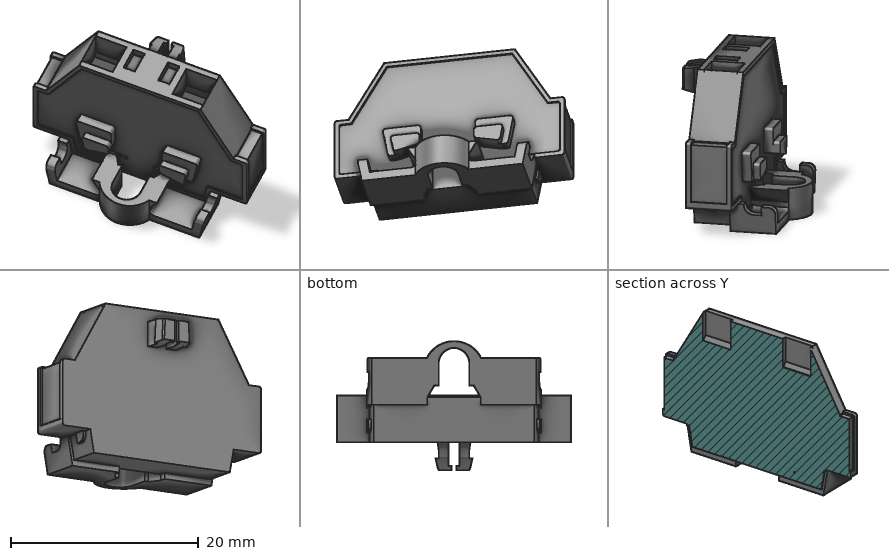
import cadquery as cq
import math

THICKNESS = 5.0
HEIGHT = 17.2
HALF_WIDTH = 12.5
TOP_HALF_WIDTH = 7.1
ROOF_LEAN = math.tan(math.radians(30))
WING_TOP = 10.5
WING_BOTTOM = 3.2
WING_FILLET = 0.3
HOUSING_BOTTOM = 0.65

RIM = 0.5
RECESS_DEPTH = 0.2

PANEL_END_DEPTH = 0.2
PANEL_TOP_DEPTH = 0.25
PANEL_WALL_HEIGHT = 0.12
PANEL_FRONT = 0.53
PANEL_BACK = 4.45
PANEL_BOTTOM = 4.0

FOOT_FRONT = -4.0
FOOT_BACK = 1.0
FLOOR_TOP = 1.0
FOOT_HALF_WIDTH = 8.75
SIDE_LEAN = math.tan(math.radians(10))
ARM_INNER_X = 7.88
ARM_BACK_FILLET = 0.35
NOTCH_BACK = -0.6
NOTCH_FRONT = -2.5
NOTCH_BOTTOM = 2.05
NOTCH_RADIUS = 1.03
TOOTH_TOP = 3.0
TOOTH_RADIUS = 0.75

CHEEK_INSET = 0.3

CATCH_FRONT = 2.55
CATCH_BACK = 4.0
CATCH_BOTTOM = 2.1
CATCH_RADIUS = 1.05

TOWER_TOP = 3.5
TOWER_HALF_WIDTH = 3.8
TOWER_FILLET = 0.65
NOSE_HALF_WIDTH = 2.9
NOSE_TIP = -5.8
SLOT_RADIUS = 1.62
SLOT_CENTER_Y = -3.43
SLOT_STEP_Y = -1.05
SLOT_STEP_X = 2.1
SLOT_MOUTH_X = 2.84
LEDGE_INNER_X = 1.5
LEDGE_HEIGHT = 0.15

BOSS_INNER_X = 2.97
BOSS_TOP = 8.32
BOSS_OUTER_X = 7.13
BOSS_BOTTOM = 4.85
BOSS_SLANT_X = 5.75
BOSS_SLANT_TOP = 5.53
BOSS_FRONT = -0.83
STEP_TOP = 6.87
STEP_OUTER_X = 6.13
STEP_FRONT = -1.6
BOSS_FILLET = 0.33

WELL_INNER_X = 3.5
WELL_FRONT = 0.68
WELL_BACK = 4.3
WELL_WALL_DEPTH = 2.9
WELL_FUNNEL_DEPTH = 0.5
LEFT_FUNNEL_INSET = (0.37, 0.3)
RIGHT_FUNNEL_INSET = (0.45, 0.45)
POCKET_CENTER_X = 2.03
POCKET_WIDTH = 1.32
POCKET_FRONT = 1.72
POCKET_DEPTH = 0.87

PIN_BOTTOM = 13.15
PIN_TOP = 15.85
PIN_GAP = 0.57
PIN_ROOT_X = 1.77
PIN_NECK_X = 1.63
PIN_TAPER_END = 5.9
HEAD_START = 6.7
HEAD_X = 1.98
HEAD_END = 7.78
HEAD_END_X = 1.75
PIN_END = 8.0
PIN_END_X = 1.6
LIP_X = 0.25
LIP_START = 7.52
PIN_SLOPE_START = 6.55
HEAD_LEAN_X = 0.15
PIN_END_DROP = 0.22


def plate_xz(points, y_start, y_end):
    """Prism of an XZ outline between two Y positions."""
    plane = cq.Workplane("XZ", origin=(0, y_start, 0))
    return plane.polyline(points).close().extrude(y_start - y_end)


def box(x_range, y_range, z_range):
    """Box between the given limits."""
    size = [end - start for start, end in (x_range, y_range, z_range)]
    return cq.Workplane("XY", origin=(x_range[0], y_range[0], z_range[0])).box(*size, centered=False)


def mirrored(points):
    """Full outline from its right half, listed from the top centre outwards."""
    return points + [(-x, z) for x, z in reversed(points)]


def both_sides(half):
    """The right half shape together with its mirror image across the YZ plane."""
    return half.union(half.mirror("YZ"))


def roof_x(z):
    """Half width between the sloping roof sides at height z."""
    return TOP_HALF_WIDTH + (HEIGHT - z) * ROOF_LEAN


def side_x(z):
    """Half width of the narrow lower housing at height z."""
    return ARM_INNER_X + (z - FLOOR_TOP) * SIDE_LEAN


def foot_x(z):
    """Half width of the foot at height z."""
    return FOOT_HALF_WIDTH + z * SIDE_LEAN


def housing_prism(bottom, y_start, y_end, inset=0.0, wing_fillet=WING_FILLET):
    """Housing outline with the given bottom height, pulled inwards by the inset, wing corners rounded."""
    half = [
        (TOP_HALF_WIDTH, HEIGHT),
        (roof_x(WING_TOP), WING_TOP),
        (HALF_WIDTH, WING_TOP),
        (HALF_WIDTH, WING_BOTTOM),
        (side_x(WING_BOTTOM), WING_BOTTOM),
        (side_x(bottom), bottom),
    ]
    outline = cq.Workplane("XZ", origin=(0, y_start, 0)).polyline(mirrored(half)).close()
    if inset:
        outline = outline.offset2D(-inset, "intersection")
    prism = outline.extrude(y_start - y_end)
    for end in (-HALF_WIDTH, HALF_WIDTH):
        wing_end = cq.selectors.BoxSelector((end - 2 * RIM, y_start, 0), (end + 2 * RIM, y_end, HEIGHT))
        prism = prism.edges("|Y").edges(wing_end).fillet(wing_fillet)
    return prism


def wing_panels():
    """Material removed from the wing tops and ends, with a short upright wall below each shoulder."""
    end_x = HALF_WIDTH - PANEL_END_DEPTH
    floor_z = WING_TOP - PANEL_TOP_DEPTH
    wall_top = floor_z + PANEL_WALL_HEIGHT
    wall_x = roof_x(wall_top)
    panel = plate_xz([
        (roof_x(WING_TOP), WING_TOP),
        (HALF_WIDTH, WING_TOP),
        (HALF_WIDTH, PANEL_BOTTOM),
        (end_x, PANEL_BOTTOM),
        (end_x, floor_z),
        (wall_x, floor_z),
        (wall_x, wall_top),
    ], PANEL_FRONT, PANEL_BACK)
    return both_sides(panel)


def roof_openings():
    """Wire wells with funnel bottoms, and the shallow pockets between them."""
    wall_bottom = HEIGHT - WELL_WALL_DEPTH
    funnel_bottom = wall_bottom - WELL_FUNNEL_DEPTH
    openings = cq.Workplane("XY")
    for side, inset in ((-1, LEFT_FUNNEL_INSET), (1, RIGHT_FUNNEL_INSET)):
        profile = [
            (WELL_FRONT, HEIGHT),
            (WELL_FRONT, wall_bottom),
            (WELL_FRONT + inset[0], funnel_bottom),
            (WELL_BACK - inset[1], funnel_bottom),
            (WELL_BACK, wall_bottom),
            (WELL_BACK, HEIGHT),
        ]
        start = cq.Workplane("YZ", origin=(side * WELL_INNER_X, 0, 0))
        well = start.polyline(profile).close().extrude(side * (TOP_HALF_WIDTH - WELL_INNER_X))
        openings = openings.add(well)
        middle = side * POCKET_CENTER_X
        openings = openings.add(box(
            (middle - POCKET_WIDTH / 2, middle + POCKET_WIDTH / 2),
            (POCKET_FRONT, WELL_BACK),
            (HEIGHT - POCKET_DEPTH, HEIGHT),
        ))
    return openings.combine()


def front_boss():
    """Right-hand boss with a smaller step in front of it."""
    slant = (BOSS_SLANT_TOP - BOSS_BOTTOM) / (BOSS_SLANT_X - BOSS_INNER_X)
    boss_lower_x = BOSS_OUTER_X - (BOSS_TOP - BOSS_BOTTOM) * SIDE_LEAN
    boss = plate_xz([
        (BOSS_INNER_X, BOSS_TOP),
        (BOSS_OUTER_X, BOSS_TOP),
        (boss_lower_x, BOSS_BOTTOM),
        (BOSS_SLANT_X, BOSS_BOTTOM),
        (BOSS_INNER_X, BOSS_SLANT_TOP),
    ], BOSS_FRONT, RECESS_DEPTH)
    boss = boss.edges("|Y").fillet(BOSS_FILLET)
    slant_offset = BOSS_SLANT_TOP + BOSS_INNER_X * slant
    step_lower_z = (slant_offset - slant * (STEP_OUTER_X - STEP_TOP * SIDE_LEAN)) / (1 + slant * SIDE_LEAN)
    step = plate_xz([
        (BOSS_INNER_X, STEP_TOP),
        (STEP_OUTER_X, STEP_TOP),
        (STEP_OUTER_X - (STEP_TOP - step_lower_z) * SIDE_LEAN, step_lower_z),
        (BOSS_INNER_X, BOSS_SLANT_TOP),
    ], STEP_FRONT, BOSS_FRONT)
    return boss.union(step.edges("|Y").fillet(BOSS_FILLET))


def leaning_side(z_bottom, z_top, y_start, y_end, inset=0.0):
    """Strip between the housing side and the outer side of the foot, less the inset."""
    return plate_xz([
        (side_x(z_bottom), z_bottom),
        (foot_x(z_bottom) - inset, z_bottom),
        (foot_x(z_top) - inset, z_top),
        (side_x(z_top), z_top),
    ], y_start, y_end)


def hook_arm():
    """Right-hand arm with a round-backed notch and a rounded front tooth."""
    arc_45 = math.sqrt(0.5)
    arm_back_end = FOOT_BACK + ARM_BACK_FILLET
    profile = (
        cq.Workplane("YZ")
        .moveTo(FOOT_FRONT, 0)
        .lineTo(FOOT_BACK, 0)
        .lineTo(FOOT_BACK, WING_BOTTOM - ARM_BACK_FILLET)
        .threePointArc(
            (arm_back_end - ARM_BACK_FILLET * arc_45, WING_BOTTOM - ARM_BACK_FILLET * (1 - arc_45)),
            (arm_back_end, WING_BOTTOM),
        )
        .lineTo(NOTCH_BACK, WING_BOTTOM)
        .lineTo(NOTCH_BACK, NOTCH_BOTTOM + NOTCH_RADIUS)
        .threePointArc(
            (NOTCH_BACK - NOTCH_RADIUS * (1 - arc_45), NOTCH_BOTTOM + NOTCH_RADIUS * (1 - arc_45)),
            (NOTCH_BACK - NOTCH_RADIUS, NOTCH_BOTTOM),
        )
        .lineTo(NOTCH_FRONT, NOTCH_BOTTOM)
        .lineTo(NOTCH_FRONT, TOOTH_TOP)
        .lineTo(FOOT_FRONT + TOOTH_RADIUS, TOOTH_TOP)
        .threePointArc(
            (FOOT_FRONT + TOOTH_RADIUS * (1 - arc_45), TOOTH_TOP - TOOTH_RADIUS * (1 - arc_45)),
            (FOOT_FRONT, TOOTH_TOP - TOOTH_RADIUS),
        )
        .close()
        .extrude(HALF_WIDTH)
    )
    return leaning_side(0, WING_BOTTOM, FOOT_FRONT, arm_back_end).intersect(profile)


def catch():
    """Right-hand catch under the wing, rounded at its lower back edge."""
    strip = leaning_side(CATCH_BOTTOM, WING_BOTTOM, CATCH_FRONT, CATCH_BACK)
    return strip.edges(">Y and <Z").fillet(CATCH_RADIUS)


def foot():
    """Floor plate, hook arms, cheeks and catches."""
    cheek = leaning_side(HOUSING_BOTTOM, WING_BOTTOM, FOOT_BACK, THICKNESS, CHEEK_INSET)
    floor = plate_xz(
        mirrored([(foot_x(FLOOR_TOP), FLOOR_TOP), (FOOT_HALF_WIDTH, 0)]), FOOT_FRONT, FOOT_BACK)
    for side_part in (hook_arm(), cheek, catch()):
        floor = floor.union(both_sides(side_part))
    return floor


def tower():
    """Dovetail block with filleted roots and a round nose."""
    root_x = TOWER_HALF_WIDTH - (TOWER_TOP - FLOOR_TOP) * ROOF_LEAN
    dovetail = plate_xz(
        mirrored([(TOWER_HALF_WIDTH, TOWER_TOP), (root_x, FLOOR_TOP)]), FOOT_FRONT, RECESS_DEPTH)
    pad = box((-FOOT_HALF_WIDTH, FOOT_HALF_WIDTH), (FOOT_FRONT, RECESS_DEPTH), (0, FLOOR_TOP))
    roots = cq.selectors.BoxSelector(
        (-root_x - RIM, FOOT_FRONT - 1, FLOOR_TOP - RIM), (root_x + RIM, THICKNESS, FLOOR_TOP + RIM))
    dovetail = dovetail.union(pad).edges("|Y").edges(roots).fillet(TOWER_FILLET)
    nose = (
        cq.Workplane("XY")
        .moveTo(-NOSE_HALF_WIDTH, FOOT_FRONT)
        .threePointArc((0, NOSE_TIP), (NOSE_HALF_WIDTH, FOOT_FRONT))
        .lineTo(NOSE_HALF_WIDTH, RECESS_DEPTH)
        .lineTo(-NOSE_HALF_WIDTH, RECESS_DEPTH)
        .close()
        .extrude(TOWER_TOP)
    )
    return dovetail.union(nose)


def tower_slot():
    """Keyhole slot through the tower and floor, flaring as far as the recessed face."""
    return (
        cq.Workplane("XY")
        .moveTo(SLOT_MOUTH_X, FOOT_BACK)
        .lineTo(SLOT_MOUTH_X, RECESS_DEPTH)
        .lineTo(SLOT_STEP_X, SLOT_STEP_Y)
        .lineTo(SLOT_RADIUS, SLOT_STEP_Y)
        .lineTo(SLOT_RADIUS, SLOT_CENTER_Y)
        .threePointArc((0, SLOT_CENTER_Y - SLOT_RADIUS), (-SLOT_RADIUS, SLOT_CENTER_Y))
        .lineTo(-SLOT_RADIUS, SLOT_STEP_Y)
        .lineTo(-SLOT_STEP_X, SLOT_STEP_Y)
        .lineTo(-SLOT_MOUTH_X, RECESS_DEPTH)
        .lineTo(-SLOT_MOUTH_X, FOOT_BACK)
        .close()
        .extrude(TOWER_TOP)
    )


def tower_ledge():
    """Right-hand wedge that slopes down from the recessed face to the top of the dovetail."""
    start = cq.Workplane("YZ", origin=(LEDGE_INNER_X, 0, 0))
    profile = [(RECESS_DEPTH, TOWER_TOP + LEDGE_HEIGHT), (0, TOWER_TOP), (RECESS_DEPTH, TOWER_TOP)]
    return start.polyline(profile).close().extrude(TOWER_HALF_WIDTH - LEDGE_INNER_X)


def snap_prong():
    """Right-hand prong of the snap pin, its head tapering towards the end."""
    stem_plan = [
        (PIN_GAP, THICKNESS),
        (PIN_ROOT_X, THICKNESS),
        (PIN_NECK_X, PIN_TAPER_END),
        (PIN_NECK_X, HEAD_START),
        (PIN_GAP, HEAD_START),
    ]
    head_outer = [
        (HEAD_X, HEAD_START),
        (HEAD_END_X, HEAD_END),
        (PIN_END_X, PIN_END),
    ]
    head_inner = [
        (LIP_X, PIN_END),
        (LIP_X, LIP_START),
        (PIN_GAP, LIP_START),
        (PIN_GAP, HEAD_START),
    ]
    head_top_outer = [(x - HEAD_LEAN_X, y) for x, y in head_outer]
    elevation = [
        (THICKNESS, PIN_BOTTOM),
        (PIN_SLOPE_START, PIN_BOTTOM),
        (PIN_END, PIN_BOTTOM + PIN_END_DROP),
        (PIN_END, PIN_TOP - PIN_END_DROP),
        (PIN_SLOPE_START, PIN_TOP),
        (THICKNESS, PIN_TOP),
    ]
    start = cq.Workplane("XY", origin=(0, 0, PIN_BOTTOM))
    stem = start.polyline(stem_plan).close().extrude(PIN_TOP - PIN_BOTTOM)
    head = (
        start.polyline(head_outer + head_inner).close()
        .workplane(offset=PIN_TOP - PIN_BOTTOM)
        .polyline(head_top_outer + head_inner).close()
        .loft(ruled=True)
    )
    return stem.union(head).intersect(cq.Workplane("YZ").polyline(elevation).close().extrude(HALF_WIDTH))


housing = housing_prism(HOUSING_BOTTOM, 0, THICKNESS)
housing = housing.cut(housing_prism(FLOOR_TOP, 0, RECESS_DEPTH, RIM)).cut(wing_panels()).cut(roof_openings())
base = foot().union(tower()).cut(tower_slot())
rim_gap = box((-SLOT_MOUTH_X, SLOT_MOUTH_X), (0, RECESS_DEPTH), (0, TOWER_TOP))
result = housing.cut(rim_gap).union(base)
for detail in (front_boss(), tower_ledge(), snap_prong()):
    result = result.union(both_sides(detail))